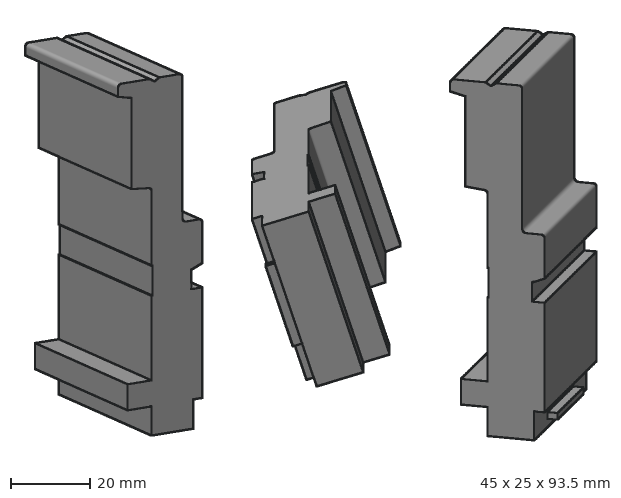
import cadquery as cq

width = 45.0
depth = 25.0
height = 93.5

ledge_front = 2.9
upper_front = 4.0
body_front = 9.9
recess_front = body_front + 0.3
upper_back = depth - 5.9
notch_floor = depth - 3.3
foot_back = depth - 2.7

ledge_bottom = 7.7
ledge_top = 14.5
recess_bottom = 36.65
recess_top = 44.5
notch_inner_top = 41.7
notch_outer_top = 43.0
shoulder = 54.6
overhang_inner = 64.9
overhang_outer = 65.45
lip_root = 89.3
lip_tip = 90.2

groove_center = 10.8
groove_half_width = 1.4
groove_depth = 0.8

corner_radius = 0.9
shoulder_root_radius = 1.1
lip_radius = 1.1
overhang_radius = 0.8

tab_bottom = 2.3
tab_top = 4.1
tab_width = width / 2


def make_body():
    """Constant section in the YZ plane, extruded along X."""
    outline = [
        (body_front, 0),
        (foot_back, 0),
        (foot_back, ledge_bottom),
        (depth, ledge_bottom),
        (depth, recess_bottom),
        (notch_floor, recess_bottom),
        (notch_floor, notch_inner_top),
        (depth, notch_outer_top),
        (depth, shoulder),
        (upper_back, shoulder),
        (upper_back, height),
        (groove_center + groove_half_width, height),
        (groove_center, height - groove_depth),
        (groove_center - groove_half_width, height),
        (0, height),
        (0, lip_tip),
        (upper_front, lip_root),
        (upper_front, overhang_outer),
        (body_front, overhang_inner),
        (body_front, recess_top),
        (recess_front, recess_top),
        (recess_front, recess_bottom),
        (body_front, recess_bottom),
        (body_front, ledge_top),
        (ledge_front, ledge_top),
        (ledge_front, ledge_bottom),
        (body_front, ledge_bottom),
    ]
    return cq.Workplane("YZ").polyline(outline).close().extrude(width)


def round_edge(body, y, z, radius):
    """Fillet the full-width edge that passes through (y, z)."""
    edge = cq.selectors.NearestToPointSelector((width / 2, y, z))
    return body.edges(edge).fillet(radius)


def make_tab():
    return cq.Workplane("XY").box(
        tab_width, depth - foot_back, tab_top - tab_bottom, centered=(True, False, False)
    ).translate((width / 2, foot_back, tab_bottom))


body = make_body()
for y, z, radius in [
    (depth, shoulder, corner_radius),
    (upper_back, shoulder, shoulder_root_radius),
    (upper_back, height, corner_radius),
    (0, height, lip_radius),
    (body_front, overhang_inner, overhang_radius),
]:
    body = round_edge(body, y, z, radius)

result = body.union(make_tab())